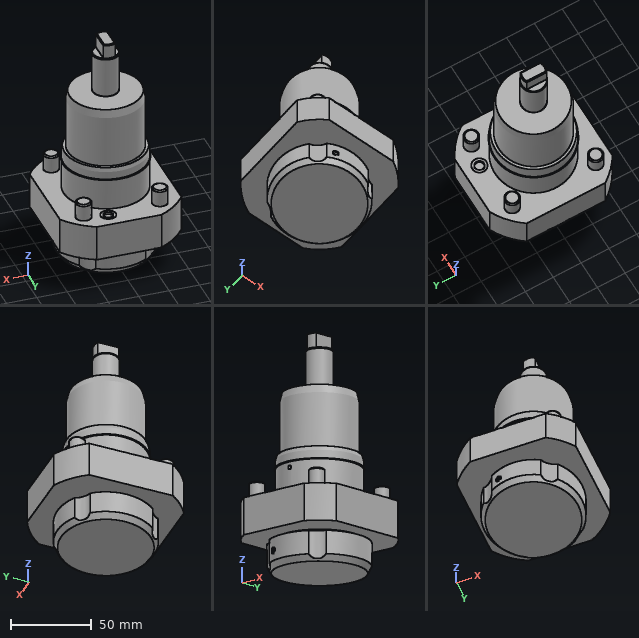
import cadquery as cq
import math

nut_bevel_top = 4.1
nut_top = 19.1
flange_bottom = 21.1
flange_top = 45.1
bead_height = 66.5
collar_bevel_bottom = 72.0
collar_top = 74.8
body_bevel_bottom = 109.9
body_top = 115.2
shaft_top = 143.2
tang_top = 153.0

nut_radius = 32.6
nut_bottom_radius = 30.0
collar_radius = 27.5
collar_top_radius = 26.8
body_radius = 24.8
body_top_radius = 23.5
shaft_radius = 8.5
shaft_foot_radius = 8.3

flange_width = 80.0
flange_front = -41.9
flange_back = 44.0
flange_corner_radius = 49.0

shaft_bevel_height = 0.9
shaft_foot_height = 0.5

tang_radius = 8.3
tang_thickness = 8.0
tang_chamfer = 0.6

bead_radius = 28.0
bead_width = 0.5

pin_radius = 5.0
pin_height = 11.5
pin_chamfer = 0.9
pin_x = 25.1
pin_y = 30.0

seal_x = 10.0
seal_y = 33.0
seal_outer_radius = 5.0
seal_inner_radius = 3.2
seal_rise = 0.38
seal_recess_depth = 1.5

groove_angles = (50, 130, 230, 310)
groove_floor_radius = 30.9
groove_floor_width = 2.3
groove_mouth_width = 10.9
groove_wall_radius = 8.1
groove_overcut = 1.5

collar_hole_radius = 1.2
collar_hole_depth = 0.2
collar_hole_heights = (48.2, 62.7)
nut_hole_radius = 2.0
nut_hole_depth = 0.8
nut_hole_height = 10.7
front_angle = 270
nut_hole_angle = front_angle - 20


def make_turned_body():
    """Nut, neck, collar, body and shaft as one revolved profile."""
    profile = [
        (0, 0),
        (nut_bottom_radius, 0),
        (nut_radius, nut_bevel_top),
        (nut_radius, nut_top),
        (collar_radius, nut_top),
        (collar_radius, collar_bevel_bottom),
        (collar_top_radius, collar_top),
        (body_radius, collar_top),
        (body_radius, body_bevel_bottom),
        (body_top_radius, body_top),
        (shaft_foot_radius, body_top),
        (shaft_radius, body_top + shaft_foot_height),
        (shaft_radius, shaft_top - shaft_bevel_height),
        (tang_radius, shaft_top),
        (0, shaft_top),
    ]
    return cq.Workplane("XZ").polyline(profile).close().revolve(360, (0, 0), (0, 1))


def make_bead():
    """Thin ring standing slightly proud of the collar."""
    return (
        cq.Workplane("XY")
        .workplane(offset=bead_height - bead_width / 2)
        .circle(bead_radius)
        .extrude(bead_width)
    )


def make_tang():
    """Two-flat drive tang with a chamfered top."""
    height = tang_top - shaft_top
    tang = cq.Workplane("XY").workplane(offset=shaft_top).circle(tang_radius).extrude(height)
    flats = (
        cq.Workplane("XY")
        .workplane(offset=shaft_top)
        .rect(tang_thickness, 2 * shaft_radius)
        .extrude(height)
    )
    return tang.intersect(flats).faces(">Z").chamfer(tang_chamfer)


def make_flange():
    """Rectangular plate whose corners are turned to a common radius."""
    thickness = flange_top - flange_bottom
    plate = (
        cq.Workplane("XY")
        .workplane(offset=flange_bottom)
        .center(0, (flange_front + flange_back) / 2)
        .rect(flange_width, flange_back - flange_front)
        .extrude(thickness)
    )
    disc = (
        cq.Workplane("XY")
        .workplane(offset=flange_bottom)
        .circle(flange_corner_radius)
        .extrude(thickness)
    )
    return plate.intersect(disc)


def make_pins():
    """Four chamfered pins standing on the flange."""
    return (
        cq.Workplane("XY")
        .workplane(offset=flange_top)
        .rect(2 * pin_x, 2 * pin_y, forConstruction=True)
        .vertices()
        .circle(pin_radius)
        .extrude(pin_height)
        .faces(">Z")
        .chamfer(pin_chamfer)
    )


def make_seal_ring():
    """Domed ring rising a little above the flange top."""
    middle_radius = (seal_outer_radius + seal_inner_radius) / 2
    return (
        cq.Workplane("XZ")
        .moveTo(seal_inner_radius, -seal_recess_depth)
        .lineTo(seal_outer_radius, -seal_recess_depth)
        .lineTo(seal_outer_radius, 0)
        .threePointArc((middle_radius, seal_rise), (seal_inner_radius, 0))
        .close()
        .revolve(360, (0, 0), (0, 1))
        .translate((seal_x, seal_y, flange_top))
    )


def make_seal_recess():
    """Shallow round recess inside the sealing ring."""
    return (
        cq.Workplane("XY")
        .workplane(offset=flange_top - seal_recess_depth)
        .center(seal_x, seal_y)
        .circle(seal_inner_radius)
        .extrude(seal_recess_depth)
    )


def make_groove(angle):
    """Axial groove with a narrow flat floor and walls curving out to the nut surface."""
    half_floor = groove_floor_width / 2
    half_mouth = groove_mouth_width / 2

    def wall_radius_at(offset):
        drop = math.sqrt(groove_wall_radius**2 - (offset - half_floor) ** 2)
        return groove_floor_radius + groove_wall_radius - drop

    half_way = (half_floor + half_mouth) / 2
    mouth_radius = wall_radius_at(half_mouth)
    middle_radius = wall_radius_at(half_way)
    return (
        cq.Workplane("XY")
        .moveTo(groove_floor_radius, -half_floor)
        .lineTo(groove_floor_radius, half_floor)
        .threePointArc((middle_radius, half_way), (mouth_radius, half_mouth))
        .lineTo(nut_radius + groove_overcut, half_mouth)
        .lineTo(nut_radius + groove_overcut, -half_mouth)
        .lineTo(mouth_radius, -half_mouth)
        .threePointArc((middle_radius, -half_way), (groove_floor_radius, -half_floor))
        .close()
        .extrude(nut_top)
        .rotate((0, 0, 0), (0, 0, 1), angle)
    )


def make_radial_hole(surface_radius, height, angle, radius, depth):
    """Cutter for a blind hole drilled toward the axis."""
    return (
        cq.Workplane("YZ")
        .workplane(offset=surface_radius - depth)
        .center(0, height)
        .circle(radius)
        .extrude(2 * depth)
        .rotate((0, 0, 0), (0, 0, 1), angle)
    )


result = make_turned_body()
for groove_angle in groove_angles:
    result = result.cut(make_groove(groove_angle))
result = result.cut(
    make_radial_hole(nut_radius, nut_hole_height, nut_hole_angle, nut_hole_radius, nut_hole_depth)
)
for hole_height in collar_hole_heights:
    result = result.cut(
        make_radial_hole(collar_radius, hole_height, front_angle, collar_hole_radius, collar_hole_depth)
    )
result = result.union(make_bead()).union(make_tang()).union(make_flange()).union(make_pins())
result = result.cut(make_seal_recess()).union(make_seal_ring())